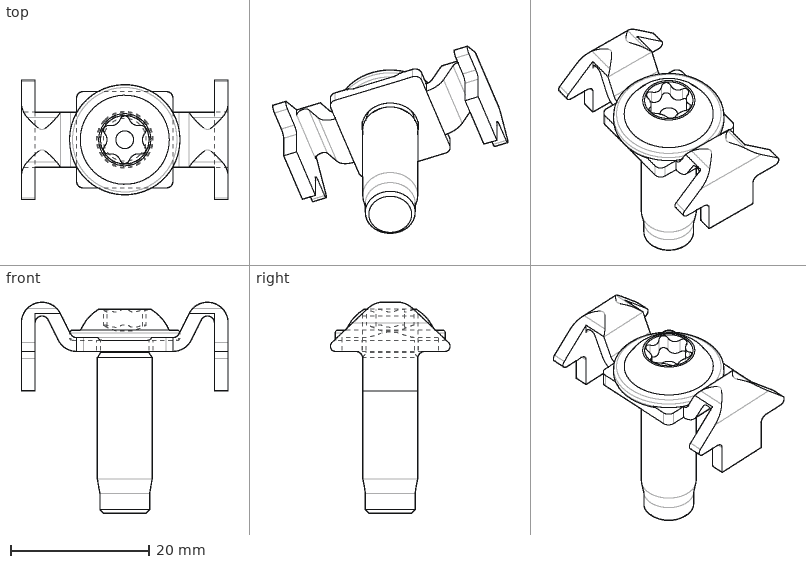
import cadquery as cq
import math

total_height = 30.6
bracket_length = 30.0
sheet = 2.02
bend_inner = 0.98
bend_outer = bend_inner + sheet
arm_lean = 26.5
strip_width = 8.0
plate_size = 14.0
plate_corner = 1.0
plate_bottom = 23.45
plate_top = plate_bottom + sheet
leg_bottom = 17.75
wing_span = 17.38
wing_bottom = plate_bottom
wing_slope = 43.5
wing_tip_radius = 0.75
crest_height = 30.65
crest_radius = 3.52
wing_root_fillet = 1.0
hole_diameter = 8.2

thread_diameter = 8.0
neck_diameter = 7.0
tip_diameter = 7.25
tip_chamfer = 0.52
tip_top = 2.88
taper_top = 5.0
shoulder_bottom = 22.55
shoulder_top = 23.32
flange_diameter = 16.0
flange_bottom = 25.03
flange_top = 26.55
flange_fillet = 0.43
dome_diameter = 12.9
dome_top = 29.6
dome_top_diameter = 7.55
dome_bulge = 0.3

lobe_count = 6
countersink_diameter = 7.0
countersink_slope = 24.0
socket_tip = 3.43
socket_waist = 2.57
lobe_radius = 0.7
socket_depth = 3.15
socket_floor_radius = 1.3
socket_floor_slope = 22.0


def polar(centre, radius, degrees):
    """Point on a circle around centre."""
    angle = math.radians(degrees)
    return (centre[0] + radius * math.cos(angle), centre[1] + radius * math.sin(angle))


def bent_half_strip():
    """Sheet of the +X half: half plate, rising arm, hairpin bend and vertical leg."""
    half_length = bracket_length / 2
    lean = math.radians(arm_lean)
    hairpin = (half_length - bend_outer, total_height - bend_outer)
    foot_z = plate_top + bend_inner
    rise = hairpin[1] - foot_z
    run = (bend_inner + bend_outer + rise * math.sin(lean)) / math.cos(lean)
    foot = (hairpin[0] - run, foot_z)

    arm_side = 180 - arm_lean
    foot_side = -arm_lean
    foot_mid = (foot_side - 90) / 2
    hairpin_mid = arm_side / 2
    leg_inside = half_length - sheet
    return (
        cq.Workplane("XZ")
        .moveTo(0, plate_top)
        .lineTo(foot[0], plate_top)
        .threePointArc(polar(foot, bend_inner, foot_mid), polar(foot, bend_inner, foot_side))
        .lineTo(*polar(hairpin, bend_outer, arm_side))
        .threePointArc(polar(hairpin, bend_outer, hairpin_mid), (half_length, hairpin[1]))
        .lineTo(half_length, leg_bottom)
        .lineTo(leg_inside, leg_bottom)
        .lineTo(leg_inside, hairpin[1])
        .threePointArc(polar(hairpin, bend_inner, hairpin_mid), polar(hairpin, bend_inner, arm_side))
        .lineTo(*polar(foot, bend_outer, foot_side))
        .threePointArc(polar(foot, bend_outer, foot_mid), (foot[0], plate_bottom))
        .lineTo(0, plate_bottom)
        .close()
        .extrude(wing_span / 2, both=True)
    )


def wing_outline_prism():
    """Winged outline in YZ, extruded along the whole bracket."""
    half_strip = strip_width / 2
    tip_centre = (wing_span / 2 - wing_tip_radius, wing_bottom + wing_tip_radius)
    slope_normal = 90 - wing_slope
    tip_end = polar(tip_centre, wing_tip_radius, slope_normal)
    crest_half = tip_end[0] - (crest_height - tip_end[1]) / math.tan(math.radians(wing_slope))
    root_y = half_strip + wing_root_fillet
    root_z = wing_bottom - wing_root_fillet
    root_mid = polar((root_y, root_z), wing_root_fillet, 135)
    half = (
        cq.Workplane("YZ")
        .moveTo(0, crest_height)
        .lineTo(crest_half, crest_height)
        .lineTo(*tip_end)
        .threePointArc(
            polar(tip_centre, wing_tip_radius, (slope_normal - 90) / 2),
            (tip_centre[0], wing_bottom),
        )
        .lineTo(root_y, wing_bottom)
        .threePointArc(root_mid, (half_strip, root_z))
        .lineTo(half_strip, leg_bottom)
        .lineTo(0, leg_bottom)
        .close()
        .extrude(bracket_length / 2, both=True)
    )
    crest_edge = cq.selectors.NearestToPointSelector((0, crest_half, crest_height))
    half = half.edges(crest_edge).fillet(crest_radius)
    return half.union(half.mirror("XZ"))


def make_bracket():
    half = bent_half_strip()
    strip = half.union(half.mirror("YZ")).intersect(wing_outline_prism())
    between_legs = bracket_length - 2 * sheet
    side_width = (wing_span - strip_width) / 2
    for side in (-1, 1):
        clearance = (
            cq.Workplane("XY", origin=(0, side * (strip_width + side_width) / 2, leg_bottom))
            .rect(between_legs, side_width)
            .extrude(total_height - leg_bottom)
        )
        strip = strip.cut(clearance)
    plate = (
        cq.Workplane("XY", origin=(0, 0, plate_bottom))
        .rect(plate_size, plate_size)
        .extrude(sheet)
        .edges("|Z")
        .fillet(plate_corner)
    )
    hole = (
        cq.Workplane("XY", origin=(0, 0, plate_bottom))
        .circle(hole_diameter / 2)
        .extrude(sheet)
    )
    return strip.union(plate).cut(hole)


def bolt_blank():
    """Turned shape of the bolt: shank, neck, flange and domed head."""
    tip = tip_diameter / 2
    thread = thread_diameter / 2
    neck = neck_diameter / 2
    flange = flange_diameter / 2
    dome = dome_diameter / 2
    dome_rim = dome_top_diameter / 2
    dome_height = dome_top - flange_top
    chord = math.hypot(dome - dome_rim, dome_height)
    dome_mid = (
        (dome + dome_rim) / 2 + dome_bulge * dome_height / chord,
        (flange_top + dome_top) / 2 + dome_bulge * (dome - dome_rim) / chord,
    )
    lower_round = (flange - flange_fillet, flange_bottom + flange_fillet)
    upper_round = (flange - flange_fillet, flange_top - flange_fillet)
    return (
        cq.Workplane("XZ")
        .moveTo(0, 0)
        .lineTo(tip - tip_chamfer, 0)
        .lineTo(tip, tip_chamfer)
        .lineTo(tip, tip_top)
        .lineTo(thread, taper_top)
        .lineTo(thread, shoulder_bottom)
        .lineTo(neck, shoulder_top)
        .lineTo(neck, flange_bottom)
        .lineTo(lower_round[0], flange_bottom)
        .threePointArc(polar(lower_round, flange_fillet, -45), (flange, lower_round[1]))
        .lineTo(flange, upper_round[1])
        .threePointArc(polar(upper_round, flange_fillet, 45), (upper_round[0], flange_top))
        .lineTo(dome, flange_top)
        .threePointArc(dome_mid, (dome_rim, dome_top))
        .lineTo(0, dome_top)
        .close()
        .revolve(360, (0, 0, 0), (0, 1, 0))
    )


def lobed_prism():
    """Six-lobe star made of tangent arcs, one lobe pointing along +Y."""
    origin = (0, 0)
    step = 360 / lobe_count
    lobe_offset = socket_tip - lobe_radius
    spread = 2 * lobe_offset * math.cos(math.radians(step / 2))
    waist_radius = (
        (lobe_offset**2 + socket_waist**2 - spread * socket_waist - lobe_radius**2)
        / (2 * lobe_radius - 2 * socket_waist + spread)
    )
    waist_offset = socket_waist + waist_radius
    share = lobe_radius / (lobe_radius + waist_radius)

    def tangent_point(lobe_angle, waist_angle):
        lobe = polar(origin, lobe_offset, lobe_angle)
        waist = polar(origin, waist_offset, waist_angle)
        return tuple(a + share * (b - a) for a, b in zip(lobe, waist))

    first_lobe = 90
    outline = cq.Workplane("XY", origin=(0, 0, dome_top - socket_depth))
    outline = outline.moveTo(*tangent_point(first_lobe, first_lobe - step / 2))
    for i in range(lobe_count):
        lobe_angle = first_lobe + i * step
        waist_angle = lobe_angle + step / 2
        outline = outline.threePointArc(
            polar(origin, socket_tip, lobe_angle), tangent_point(lobe_angle, waist_angle)
        )
        outline = outline.threePointArc(
            polar(origin, socket_waist, waist_angle), tangent_point(lobe_angle + step, waist_angle)
        )
    return outline.close().extrude(socket_depth)


def cone_above(floor_radius, floor_z, slope, top_z):
    """Solid above a flat floor and a cone that rises outward from it."""
    top_radius = floor_radius + (top_z - floor_z) / math.tan(math.radians(slope))
    return (
        cq.Workplane("XZ")
        .moveTo(0, floor_z)
        .lineTo(floor_radius, floor_z)
        .lineTo(top_radius, top_z)
        .lineTo(0, top_z)
        .close()
        .revolve(360, (0, 0, 0), (0, 1, 0))
    )


def make_bolt():
    floor_z = dome_top - socket_depth
    socket = lobed_prism().intersect(
        cone_above(socket_floor_radius, floor_z, socket_floor_slope, dome_top)
    )
    sink_radius = countersink_diameter / 2
    sink_depth = (sink_radius - socket_floor_radius) * math.tan(math.radians(countersink_slope))
    countersink = cone_above(socket_floor_radius, dome_top - sink_depth, countersink_slope, dome_top)
    return bolt_blank().cut(socket).cut(countersink)


bolt = make_bolt()
bracket = make_bracket().cut(bolt)

result = cq.Compound.makeCompound([bracket.val(), bolt.val()])